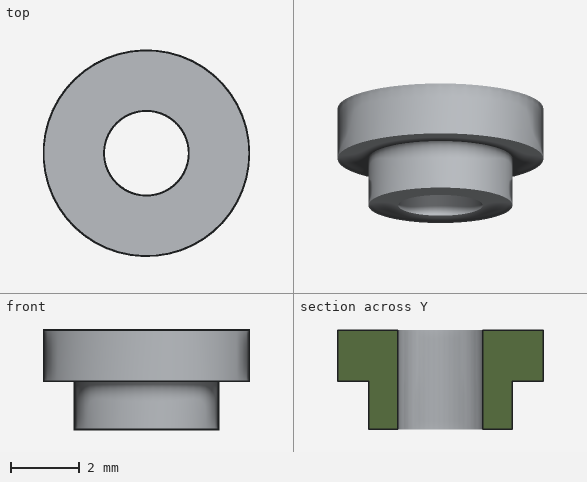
import cadquery as cq

flange_diameter = 6.0
flange_thickness = 1.5
sleeve_diameter = 4.2
sleeve_length = 1.4
bore_diameter = 2.46

total_height = sleeve_length + flange_thickness


def cylinder(diameter, bottom, height):
    """Upright cylinder on the Z axis, starting at the given bottom level."""
    return cq.Workplane("XY").workplane(offset=bottom).circle(diameter / 2).extrude(height)


sleeve = cylinder(sleeve_diameter, 0, sleeve_length)
flange = cylinder(flange_diameter, sleeve_length, flange_thickness)

bore = cylinder(bore_diameter, 0, total_height)

result = sleeve.union(flange).cut(bore)